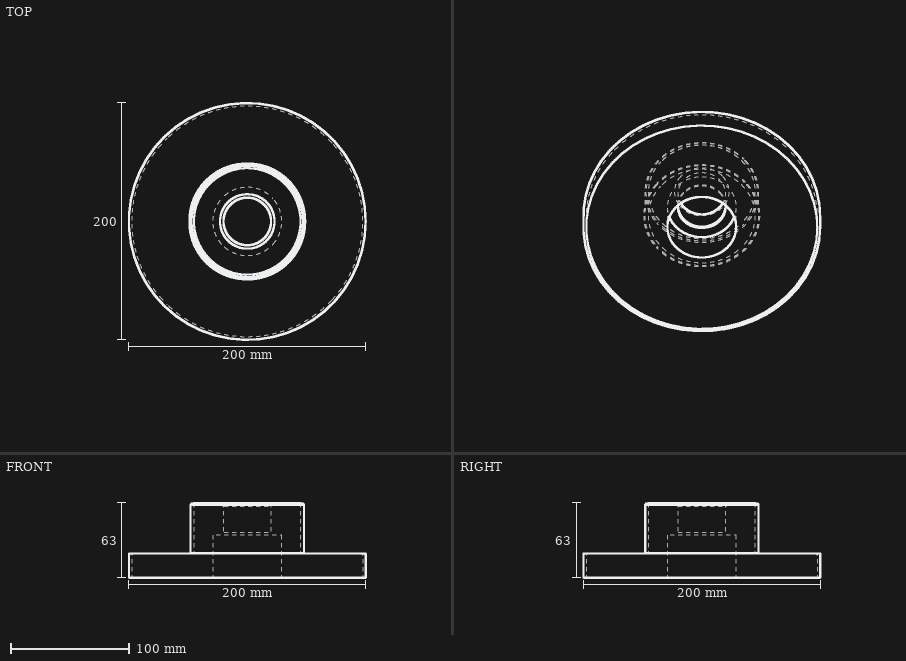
import cadquery as cq
import math

total_height = 63.0
core_proud = 0.4
cover_top_z = total_height - core_proud
flange_top_z = 20.5
skin_thickness = 0.6
core_flange_z = flange_top_z - skin_thickness

cover_flange_radius = 200.0 / 2
core_flange_radius = 195.03 / 2
cover_hub_radius = 96.0 / 2
core_hub_radius = 90.02 / 2

cover_rim_fillet = 0.8
core_rim_fillet = 1.0
hub_top_chamfer = 1.0

groove_outer_radius = 98.0 / 2
groove_bottom_radius = 48.8
groove_depth = 0.4
groove_inner_rise = 0.2

bore_radius = 40.01 / 2
bore_chamfer = 3.0
bore_length = 25.0
relief_radius = 40.3 / 2
relief_length = 2.0
cavity_radius = 58.0 / 2
relief_top_z = total_height - bore_length
cavity_top_z = relief_top_z - relief_length


def convex_fillet(sketch, end, center, radius, middle_angle):
    """Add a quarter circle to the outline, passing its middle at the given angle in degrees."""
    angle = math.radians(middle_angle)
    middle = (center[0] + radius * math.cos(angle), center[1] + radius * math.sin(angle))
    return sketch.threePointArc(middle, end)


def revolve_outline(sketch):
    """Close a radius-height outline and turn it fully around the Z axis."""
    return sketch.close().revolve(360, (0, 0, 0), (0, 1, 0))


def upper_rim(sketch, radius, top_z, fillet):
    """Draw up the rim of a flange and around its top fillet."""
    sketch = sketch.lineTo(radius, top_z - fillet)
    center = (radius - fillet, top_z - fillet)
    return convex_fillet(sketch, (radius - fillet, top_z), center, fillet, 45)


def make_core():
    """Flanged hub with the stepped bore."""
    sketch = cq.Workplane("XZ").moveTo(cavity_radius, 0).lineTo(core_flange_radius, 0)
    sketch = upper_rim(sketch, core_flange_radius, core_flange_z, core_rim_fillet)
    sketch = (
        sketch.lineTo(core_hub_radius, core_flange_z)
        .lineTo(core_hub_radius, total_height)
        .lineTo(bore_radius + bore_chamfer, total_height)
        .lineTo(bore_radius, total_height - bore_chamfer)
        .lineTo(bore_radius, relief_top_z)
        .lineTo(relief_radius, relief_top_z)
        .lineTo(relief_radius, cavity_top_z)
        .lineTo(cavity_radius, cavity_top_z)
    )
    return revolve_outline(sketch)


def make_cover():
    """Layer around the rim, the flange top and the hub of the core."""
    bottom_flat_radius = cover_flange_radius - cover_rim_fillet
    sketch = cq.Workplane("XZ").moveTo(core_flange_radius, 0).lineTo(bottom_flat_radius, 0)
    sketch = convex_fillet(
        sketch,
        (cover_flange_radius, cover_rim_fillet),
        (bottom_flat_radius, cover_rim_fillet),
        cover_rim_fillet,
        -45,
    )
    sketch = upper_rim(sketch, cover_flange_radius, flange_top_z, cover_rim_fillet)

    sketch = (
        sketch.lineTo(groove_outer_radius, flange_top_z)
        .lineTo(groove_bottom_radius, flange_top_z - groove_depth)
        .lineTo(cover_hub_radius, flange_top_z + groove_inner_rise)
        .lineTo(cover_hub_radius, cover_top_z - hub_top_chamfer)
        .lineTo(cover_hub_radius - hub_top_chamfer, cover_top_z)
        .lineTo(core_hub_radius, cover_top_z)
    )

    sketch = sketch.lineTo(core_hub_radius, core_flange_z)
    sketch = sketch.lineTo(core_flange_radius - core_rim_fillet, core_flange_z)
    sketch = convex_fillet(
        sketch,
        (core_flange_radius, core_flange_z - core_rim_fillet),
        (core_flange_radius - core_rim_fillet, core_flange_z - core_rim_fillet),
        core_rim_fillet,
        45,
    )
    return revolve_outline(sketch)


core = make_core()
cover = make_cover()

result = cq.Compound.makeCompound([core.val(), cover.val()])